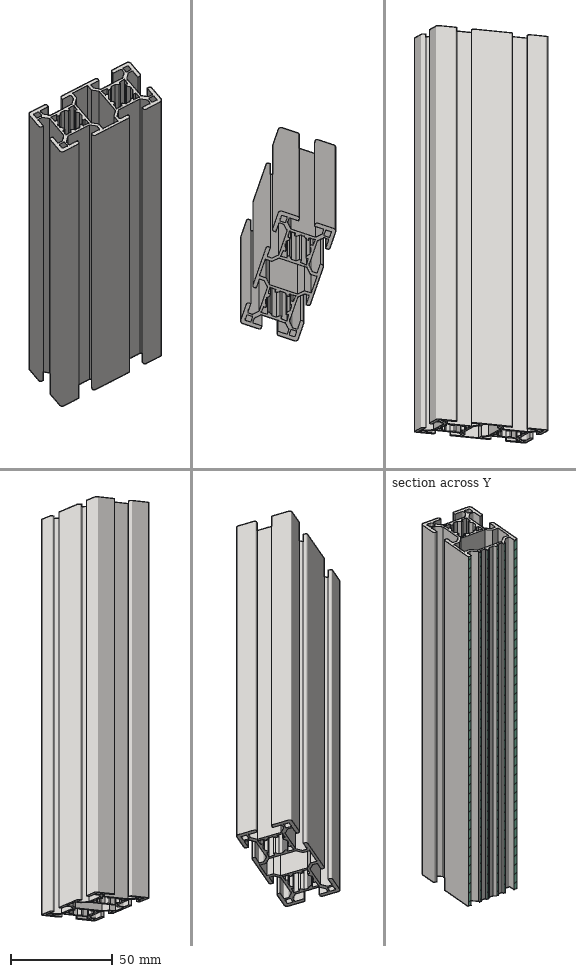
import cadquery as cq

CELL = 30.0
LENGTH = 200.0
HALF_CELL = CELL / 2
CORNER_RADIUS = 1.5

SLOT_OPENING = 8.25
LIP_THICKNESS = 2.0
LIP_RADIUS = 1.05
LIP_INNER = HALF_CELL - LIP_THICKNESS

SLOT_HALF_WIDTH = 9.0
SLOT_FLOOR = 7.9
FLOOR_HALF_WIDTH = 6.4
SLOT_SHOULDER = SLOT_FLOOR + SLOT_HALF_WIDTH - FLOOR_HALF_WIDTH
INNER_CORNER_RADIUS = 0.3

CORNER_HOLLOW = 3.0
CORNER_HOLLOW_CENTER = LIP_INNER - CORNER_HOLLOW / 2

CORE_HALF = 6.5
CORE_CORNER = CORE_HALF + 0.25

RIDGE_OUTER = 3.6
RIDGE_TIP_INNER = 2.6
RIDGE_FOOT_INNER = 1.1
RIDGE_TIP = 5.3

MIDDLE_WALL = 1.5
WEB_THICKNESS = 1.6
CHAMBER_HALF_X = HALF_CELL - MIDDLE_WALL
CHAMBER_HALF_Y = HALF_CELL - SLOT_FLOOR
CHAMBER_SHOULDER_X = 10.0
CHAMBER_SHOULDER_Y = HALF_CELL - SLOT_HALF_WIDTH - WEB_THICKNESS
CHAMBER_END_HALF_X = CHAMBER_SHOULDER_X - (CHAMBER_HALF_Y - CHAMBER_SHOULDER_Y)


def prism(points):
    """Full-length prism over a closed straight-sided outline."""
    return cq.Workplane("XY").polyline(points).close().extrude(LENGTH)


def bar(width, depth):
    """Full-length rectangular prism centred on the Z axis."""
    return cq.Workplane("XY").rect(width, depth).extrude(LENGTH)


def turned(solid, angle):
    """Solid turned about the Z axis."""
    return solid.rotate((0, 0, 0), (0, 0, 1), angle)


def outer_block():
    return bar(CELL, 2 * CELL).edges("|Z").fillet(CORNER_RADIUS)


def slot_mouth():
    """Opening between the lips, flaring out along the rounded lip edges."""
    half_opening = SLOT_OPENING / 2
    flared_half = half_opening + LIP_RADIUS
    round_start = HALF_CELL - LIP_RADIUS
    return (
        cq.Workplane("XY")
        .moveTo(-half_opening, SLOT_FLOOR)
        .lineTo(half_opening, SLOT_FLOOR)
        .lineTo(half_opening, round_start)
        .radiusArc((flared_half, HALF_CELL), LIP_RADIUS)
        .lineTo(-flared_half, HALF_CELL)
        .radiusArc((-half_opening, round_start), LIP_RADIUS)
        .close()
        .extrude(LENGTH)
    )


def slot():
    """T-slot void opening toward +Y of a cell centred on the origin."""
    chamber = prism([
        (-FLOOR_HALF_WIDTH, SLOT_FLOOR),
        (FLOOR_HALF_WIDTH, SLOT_FLOOR),
        (SLOT_HALF_WIDTH, SLOT_SHOULDER),
        (SLOT_HALF_WIDTH, LIP_INNER),
        (-SLOT_HALF_WIDTH, LIP_INNER),
        (-SLOT_HALF_WIDTH, SLOT_SHOULDER),
    ])
    return chamber.edges("|Z and (<X or >X)").fillet(INNER_CORNER_RADIUS).union(slot_mouth())


def corner_hollow():
    return bar(CORNER_HOLLOW, CORNER_HOLLOW).edges("|Z").fillet(INNER_CORNER_RADIUS)


def ridge(side):
    """Ridge on the +Y core wall, at +X or -X of the wall's middle (side +1 or -1)."""
    return prism([
        (side * RIDGE_OUTER, CORE_CORNER),
        (side * RIDGE_OUTER, RIDGE_TIP),
        (side * RIDGE_TIP_INNER, RIDGE_TIP),
        (side * RIDGE_FOOT_INNER, CORE_HALF),
        (side * RIDGE_FOOT_INNER, CORE_CORNER),
    ])


def core_bore():
    """Core void: a square bore with corner reliefs, less a pair of ridges on each wall."""
    bore = bar(2 * CORE_HALF, 2 * CORE_HALF)
    corner_relief = prism([
        (RIDGE_OUTER, RIDGE_OUTER),
        (CORE_HALF, RIDGE_OUTER),
        (CORE_CORNER, CORE_CORNER),
        (RIDGE_OUTER, CORE_HALF),
    ])
    for angle in (0, 90, 180, 270):
        bore = bore.union(turned(corner_relief, angle))
        for side in (-1, 1):
            bore = bore.cut(turned(ridge(side), angle))
    return bore


def end_cell_void():
    """All voids of the +Y cell, centred on the origin."""
    void = core_bore()
    for angle in (-90, 0, 90):
        void = void.union(turned(slot(), angle))
    for side in (-1, 1):
        void = void.union(corner_hollow().translate((side * CORNER_HOLLOW_CENTER, CORNER_HOLLOW_CENTER, 0)))
    return void


def middle_chamber():
    """Eight-sided chamber between the cells, its ends narrowing at 45 degrees."""
    return prism([
        (-CHAMBER_HALF_X, -CHAMBER_SHOULDER_Y),
        (-CHAMBER_SHOULDER_X, -CHAMBER_SHOULDER_Y),
        (-CHAMBER_END_HALF_X, -CHAMBER_HALF_Y),
        (CHAMBER_END_HALF_X, -CHAMBER_HALF_Y),
        (CHAMBER_SHOULDER_X, -CHAMBER_SHOULDER_Y),
        (CHAMBER_HALF_X, -CHAMBER_SHOULDER_Y),
        (CHAMBER_HALF_X, CHAMBER_SHOULDER_Y),
        (CHAMBER_SHOULDER_X, CHAMBER_SHOULDER_Y),
        (CHAMBER_END_HALF_X, CHAMBER_HALF_Y),
        (-CHAMBER_END_HALF_X, CHAMBER_HALF_Y),
        (-CHAMBER_SHOULDER_X, CHAMBER_SHOULDER_Y),
        (-CHAMBER_HALF_X, CHAMBER_SHOULDER_Y),
    ])


far_cell_void = end_cell_void().translate((0, HALF_CELL, 0))
result = outer_block().cut(middle_chamber()).cut(far_cell_void).cut(turned(far_cell_void, 180))